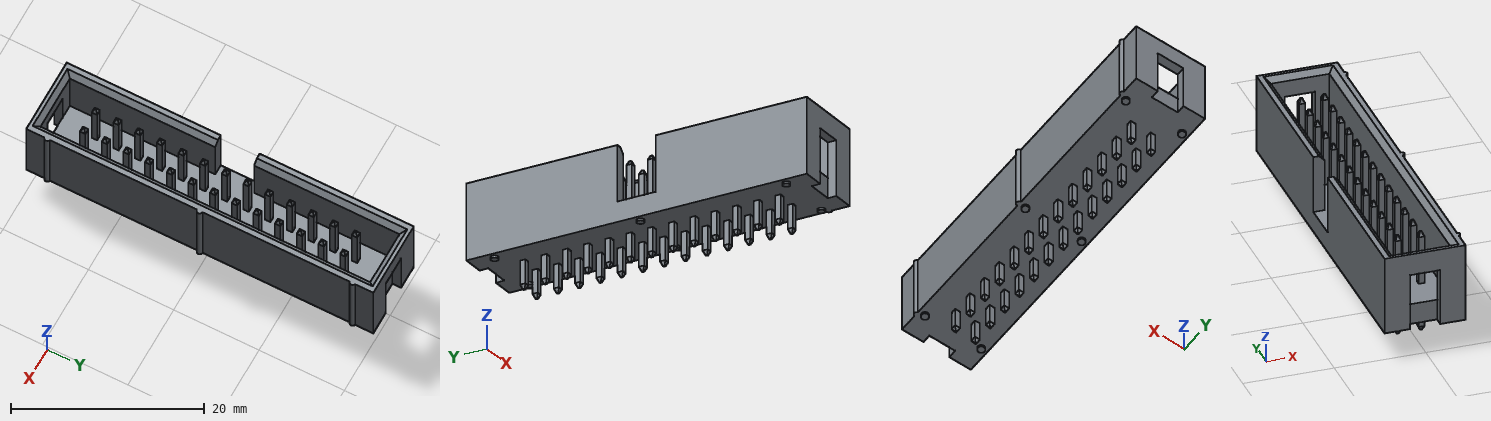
import cadquery as cq


body_width = 8.85
body_length = 40.68
body_height = 8.85
floor_height = 2.35

side_wall = 1.23
end_wall = 1.02
lead_in_width = 0.6
lead_in_depth = 0.6
cavity_width = body_width - 2 * side_wall
cavity_length = body_length - 2 * end_wall

key_width = 4.55
slot_width = 3.3
slot_height = 6.4

pin_rows = 2
pins_per_row = 13
pin_pitch = 2.54
pin_side = 0.64
pin_tip_side = 0.2
pin_taper = 0.5
pin_top = 8.35
pin_bottom = -3.25

foot_diameter = 0.85
foot_height = 0.25
foot_x = 3.61
foot_y = 17.43

rib_radius = 0.33
outer_rib_inset = 0.08
outer_rib_y = 17.88


def box_on(width, length, height, base_z):
    """Box centred on the Z axis, standing on the given level."""
    return cq.Workplane("XY").workplane(offset=base_z).rect(width, length).extrude(height)


def make_cavity():
    """Volume above the floor, flaring out along the lead-in chamfer."""
    straight = box_on(cavity_width, cavity_length, body_height - floor_height, floor_height)
    lead_in = (
        cq.Workplane("XY")
        .workplane(offset=body_height - lead_in_depth)
        .rect(cavity_width, cavity_length)
        .workplane(offset=lead_in_depth)
        .rect(cavity_width + 2 * lead_in_width, cavity_length + 2 * lead_in_width)
        .loft(ruled=True)
    )
    return straight.union(lead_in)


def make_key_notch():
    """Notch through the -X wall, from the floor to the rim."""
    notch = box_on(side_wall, key_width, body_height - floor_height, floor_height)
    return notch.translate(((side_wall - body_width) / 2, 0, 0))


def make_end_slot(side):
    """Slot through one end wall, open at the underside."""
    slot = box_on(slot_width, end_wall, slot_height, 0)
    return slot.translate((0, side * (body_length - end_wall) / 2, 0))


def make_pin():
    """Square pin with a truncated pyramid at each end."""
    shank_top = pin_top - pin_taper
    shank_bottom = pin_bottom + pin_taper
    shank = box_on(pin_side, pin_side, shank_top - shank_bottom, shank_bottom)
    for shank_end, taper in ((shank_top, pin_taper), (shank_bottom, -pin_taper)):
        tip = (
            cq.Workplane("XY")
            .workplane(offset=shank_end)
            .rect(pin_side, pin_side)
            .workplane(offset=taper)
            .rect(pin_tip_side, pin_tip_side)
            .loft(ruled=True)
        )
        shank = shank.union(tip)
    return shank


def make_housing():
    housing = box_on(body_width, body_length, body_height, 0)
    housing = housing.cut(make_cavity()).cut(make_key_notch())
    for side in (-1, 1):
        housing = housing.cut(make_end_slot(side))
    return housing


def add_pins(part):
    pin = make_pin().val()
    positions = cq.Workplane("XY").rarray(pin_pitch, pin_pitch, pin_rows, pins_per_row)
    return part.union(positions.eachpoint(lambda place: pin.moved(place)))


def add_feet(part):
    points = [(x, y) for x in (-foot_x, foot_x) for y in (-foot_y, 0, foot_y)]
    feet = cq.Workplane("XY").pushPoints(points).circle(foot_diameter / 2).extrude(-foot_height)
    return part.union(feet)


def add_ribs(part):
    wall_x = body_width / 2
    outer_x = wall_x - outer_rib_inset
    points = [(outer_x, -outer_rib_y), (wall_x, 0), (outer_x, outer_rib_y)]
    ribs = cq.Workplane("XY").pushPoints(points).circle(rib_radius).extrude(body_height)
    return part.union(ribs)


result = add_ribs(add_feet(add_pins(make_housing())))